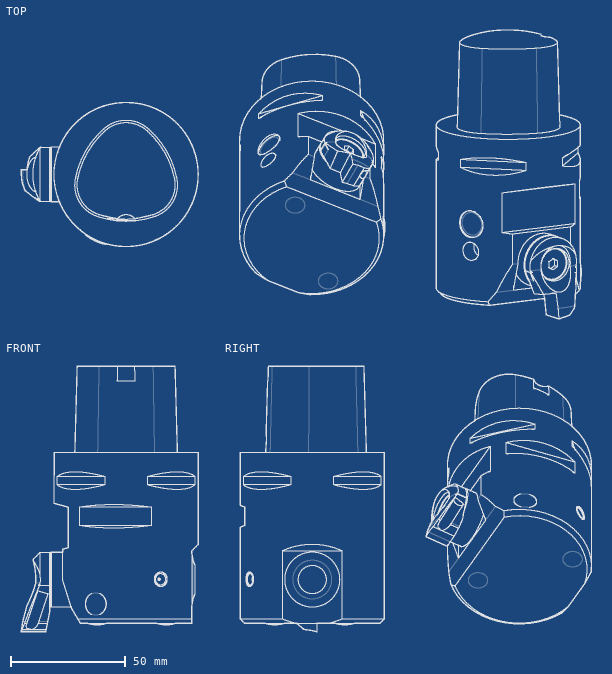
import cadquery as cq
import math

overall_width = 77.3
body_radius = 63.0 / 2
body_bottom = 3.7
body_top = 78.3
bottom_chamfer = 2.0
cutter_clearance = 5.8
outside = body_radius + cutter_clearance

shank_top = 116
shank_lobe_reach = 23.7
shank_side_reach = 20.4
shank_lobes = (-30, 90, 210)
lobe_spacing = 120
shank_joint_reach = 22.2
shank_joint_angle = 26
shank_taper_drop = 1.0
key_notch_radius = 5.0
key_notch_depth = 1.9
key_notch_bottom = 109.5

slot_directions = (45, 135, 225, 315)
slot_flat = 27.8
slot_bottom = 64.3
slot_top = 67.7
slot_wall_angle = 30

clamp_flat = 27.1
clamp_bottom = 46.5
clamp_top = 54.4
clamp_direction = 260
wall_angle = 15

step_flat_x = -25.3
step_top = 54.4
step_bottom = 36.8
bar_flat_x = -27.7
slope_top = 22.6
slope_middle_x = -23.8
slope_middle_z = 10.1
slope_end_x = -20.0

dial_flat_x = 28.7
dial_flat_top = 35.4

bar_radius = 24.0 / 2
bar_axis_z = 22.9
bar_end_x = -32.7
dial_edge_x = 29.2
dial_edge_radius = 8.5
dial_face_x = 30.2
dial_face_radius = 6.1

plug_diameter = 10.0
plug_rim = 31.4
plug_height = 0.6
plug_root = 1.2
plug_direction = 245
plug_z = 12.2

screw_direction = 299
screw_z = 23.0
screw_hole_diameter = 6.3
screw_rim_depth = 0.5
screw_socket_diameter = 5.0
screw_socket_depth = 1.2
screw_pip_diameter = 1.0
screw_pip_depth = 0.5

port_direction = 117
port_diameter = 8.0
port_z = 27.5
port_depth = 9.3
sunk_plug_z = 39.5
sunk_plug_rim = 30.4
counterbore_diameter = 11.8

foot_diameter = 8.5
foot_height = 0.7
foot_places = [(-12.8, 14.2), (17.4, -16.4)]

head_radius = 23.8 / 2
head_back_x = -33.3
head_rim_x = -37.6
head_face_x = -40.7
head_bevel_radius = 8.7
face_curve_radius = 23.2
face_bend_z = 21.3
arm_end_x = -45.1
arm_end_z = 4.6
tip_x = body_radius - overall_width
rake_y = 2.1
arm_blank_x = -47.6
arm_step_z = 8.1
arm_outline = [
    (11.7, 20.4),
    (6.5, arm_step_z),
    (rake_y, arm_step_z),
    (rake_y, 0),
    (-0.3, 0.6),
    (-3.6, 1.0),
    (-6.6, 3.6),
    (-7.1, 4.5),
    (-11.8, 20.3),
]
arm_back_bend_z = 8.7
arm_back_end_x = -35.0
pocket_front_z = 11.5
pocket_back_z = 9.5

seat_radius = 13.6 / 2
seat_x = -37.6
seat_bore_radius = 7.2
seat_ring_depth = 0.3
seat_cone_x = -39.1
seat_cone_length = 7
socket_diameter = 5.0
socket_depth = 2.3

groove_diameter = 4.8
groove_start = (-36.3, -10.4, 17.4)
groove_end = (-41.9, -5.8, 0.6)


def polar(radius, angle):
    return (radius * math.cos(math.radians(angle)), radius * math.sin(math.radians(angle)))


def radial_plane(direction, reach, z):
    """Plane whose normal leaves the Z axis horizontally in the given direction."""
    nx, ny = polar(1, direction)
    return cq.Plane(origin=(reach * nx, reach * ny, z), xDir=(-ny, nx, 0), normal=(nx, ny, 0))


def cross_plane(x, side):
    """Plane centred on the bar axis that faces +X for side 1 and -X for side -1."""
    return cq.Plane(origin=(x, 0, bar_axis_z), xDir=(0, 1, 0), normal=(side, 0, 0))


def dome(plane, diameter, height):
    """Spherical cap standing on a plane."""
    ball_radius = ((diameter / 2) ** 2 + height**2) / (2 * height)
    middle_height = math.sqrt(ball_radius**2 - (diameter / 4) ** 2) - (ball_radius - height)
    return (
        cq.Workplane(plane)
        .transformed(rotate=(90, 0, 0))
        .lineTo(diameter / 2, 0)
        .threePointArc((diameter / 4, middle_height), (0, height))
        .close()
        .revolve(360, (0, 0), (0, 1))
    )


def cone(plane, base_radius, end_radius, height):
    """Truncated cone standing on a plane."""
    return (
        cq.Workplane(plane).circle(base_radius).workplane(offset=height).circle(end_radius).loft()
    )


def side_prism(points, y_start, y_end):
    """Prism with an outline of (x, z) points, running along Y."""
    return cq.Workplane("XZ", origin=(0, y_start, 0)).polyline(points).close().extrude(y_start - y_end)


def shank_outline(workplane, shrink):
    """Closed outline of three lobe arcs and three side arcs."""
    joint = shank_joint_reach - shrink
    outline = workplane.moveTo(*polar(joint, shank_lobes[0] - shank_joint_angle))
    for lobe in shank_lobes:
        side = lobe + lobe_spacing / 2
        next_joint = lobe + lobe_spacing - shank_joint_angle
        outline = outline.threePointArc(
            polar(shank_lobe_reach - shrink, lobe), polar(joint, lobe + shank_joint_angle)
        ).threePointArc(
            polar(shank_side_reach - shrink, side), polar(joint, next_joint)
        )
    return outline.close()


def make_shank():
    height = shank_top - body_top
    base = shank_outline(cq.Workplane("XY", origin=(0, 0, body_top)), 0)
    shank = shank_outline(base.workplane(offset=height), shank_taper_drop).loft(ruled=True)
    notch_y = -(shank_side_reach - shank_taper_drop) + key_notch_depth - key_notch_radius
    notch = (
        cq.Workplane("XY", origin=(0, notch_y, key_notch_bottom))
        .circle(key_notch_radius)
        .extrude(height)
    )
    return shank.cut(notch)


def flat_cut(direction, flat, bottom, top, angle):
    """Cutter for a flat in the wall, with upper and lower walls that open outwards."""
    flare = (outside - flat) * math.tan(math.radians(angle))
    profile = [(flat, bottom), (outside, bottom - flare), (outside, top + flare), (flat, top)]
    return side_prism(profile, -outside, outside).rotate((0, 0, 0), (0, 0, 1), direction)


def stepped_flats_cut():
    wall_slope = math.tan(math.radians(wall_angle))
    profile = [
        (-outside, step_top + (step_flat_x + outside) * wall_slope),
        (step_flat_x, step_top),
        (step_flat_x, step_bottom),
        (bar_flat_x, step_bottom - (step_flat_x - bar_flat_x) * wall_slope),
        (bar_flat_x, slope_top),
        (slope_middle_x, slope_middle_z),
        (slope_end_x, body_bottom),
        (-outside, body_bottom),
    ]
    return side_prism(profile, -outside, outside)


def dial_flat_cut():
    profile = [
        (dial_flat_x, body_bottom),
        (dial_flat_x, dial_flat_top),
        (outside, dial_flat_top + outside - dial_flat_x),
        (outside, body_bottom),
    ]
    return side_prism(profile, -outside, outside)


def bar_recess_cut():
    """Bore for the bar, and the upright-walled recess below it on the sloped side."""
    bore = cq.Workplane(cross_plane(-outside, 1)).circle(bar_radius).extrude(2 * outside)
    recess = cq.Workplane("XY").box(
        outside + slope_middle_x, 2 * bar_radius, bar_axis_z - body_bottom, centered=(False, True, False)
    )
    return bore.union(recess.translate((-outside, 0, body_bottom)))


def radial_bore(direction, z, diameter, floor):
    """Cutter for a hole from the outside down to a floor at a distance from the axis."""
    return (
        cq.Workplane(radial_plane(direction, floor, z))
        .circle(diameter / 2)
        .extrude(outside - floor)
    )


def plug(direction, z, rim):
    """Domed plug with a short round root below its rim."""
    plane = radial_plane(direction, rim, z)
    root = cq.Workplane(plane).circle(plug_diameter / 2).extrude(-plug_root)
    return root.union(dome(plane, plug_diameter, plug_height))


def screw_cut():
    rim_floor = body_radius - screw_rim_depth
    socket_floor = rim_floor - screw_socket_depth
    rim = radial_bore(screw_direction, screw_z, screw_hole_diameter, rim_floor)
    socket = cone(
        radial_plane(screw_direction, socket_floor, screw_z),
        screw_pip_diameter / 2,
        screw_socket_diameter / 2,
        screw_socket_depth,
    )
    pip = (
        cq.Workplane(radial_plane(screw_direction, socket_floor, screw_z))
        .circle(screw_pip_diameter / 2)
        .extrude(-screw_pip_depth)
    )
    return rim.union(socket).union(pip)


def make_housing():
    housing = (
        cq.Workplane("XY", origin=(0, 0, body_bottom))
        .circle(body_radius)
        .extrude(body_top - body_bottom)
        .faces("<Z")
        .chamfer(bottom_chamfer)
    )
    for direction in slot_directions:
        housing = housing.cut(flat_cut(direction, slot_flat, slot_bottom, slot_top, slot_wall_angle))
    housing = housing.cut(flat_cut(clamp_direction, clamp_flat, clamp_bottom, clamp_top, wall_angle))
    for cutter in (stepped_flats_cut(), dial_flat_cut(), bar_recess_cut()):
        housing = housing.cut(cutter)
    port = radial_bore(port_direction, port_z, port_diameter, body_radius - port_depth)
    counterbore = radial_bore(port_direction, sunk_plug_z, counterbore_diameter, sunk_plug_rim)
    for cutter in (screw_cut(), port, counterbore):
        housing = housing.cut(cutter)
    housing = housing.union(make_shank())
    housing = housing.union(plug(plug_direction, plug_z, plug_rim))
    housing = housing.union(plug(port_direction, sunk_plug_z, sunk_plug_rim))
    for x, y in foot_places:
        foot_plane = cq.Plane(origin=(x, y, body_bottom), xDir=(1, 0, 0), normal=(0, 0, -1))
        housing = housing.union(dome(foot_plane, foot_diameter, foot_height))
    return housing


def make_bar():
    bar = (
        cq.Workplane(cross_plane(bar_end_x, 1))
        .circle(bar_radius)
        .extrude(dial_flat_x - bar_end_x)
    )
    skirt = cone(
        cross_plane(dial_flat_x, 1), bar_radius, dial_edge_radius, dial_edge_x - dial_flat_x
    )
    dial = cone(
        cross_plane(dial_edge_x, 1), dial_edge_radius, dial_face_radius, dial_face_x - dial_edge_x
    )
    return bar.union(skirt).union(dial)


def curved_front(z_upper, x_upper, z_lower, x_lower):
    """Slanted round prism; its -X side is one stretch of the curved front of the head."""
    center_x = x_upper + face_curve_radius
    disc = cq.Workplane("XY", origin=(center_x, 0, z_upper)).circle(face_curve_radius).val()
    slant = cq.Vector(x_lower - x_upper, 0, z_lower - z_upper)
    return cq.Workplane(cq.Solid.extrudeLinear(disc, [], slant))


def head_blank():
    """Bevelled disc with the arm that reaches down to the cutting tip."""
    disc = (
        cq.Workplane(cross_plane(head_rim_x, 1))
        .circle(head_radius)
        .extrude(head_back_x - head_rim_x)
    )
    bevel = cone(
        cross_plane(head_rim_x, -1),
        head_radius,
        head_bevel_radius,
        head_rim_x - head_face_x,
    )
    arm = (
        cq.Workplane("YZ", origin=(arm_blank_x, 0, 0))
        .polyline(arm_outline)
        .close()
        .extrude(head_back_x - arm_blank_x)
    )
    return disc.union(bevel).union(arm)


def seat_cut():
    """Bore with a raised round seat, opening into a 45 degree cone, with a hexagonal socket."""
    bore = (
        cq.Workplane(cross_plane(seat_x + seat_ring_depth, -1))
        .circle(seat_bore_radius)
        .extrude(seat_x + seat_ring_depth - seat_cone_x)
    )
    seat = (
        cq.Workplane(cross_plane(seat_x, 1))
        .circle(seat_radius)
        .extrude(seat_ring_depth)
    )
    opening = cone(
        cross_plane(seat_cone_x, -1),
        seat_bore_radius,
        seat_bore_radius + seat_cone_length,
        seat_cone_length,
    )
    socket = (
        cq.Workplane(cross_plane(seat_x, 1))
        .transformed(rotate=(0, 0, 90))
        .polygon(6, socket_diameter)
        .extrude(socket_depth)
    )
    return bore.cut(seat).union(opening).union(socket)


def groove_cut():
    start = cq.Vector(*groove_start)
    run = cq.Vector(*groove_end) - start
    return cq.Workplane(cq.Solid.makeCylinder(groove_diameter / 2, run.Length, start, run))


def make_head():
    tip_front_x = tip_x - face_curve_radius + math.sqrt(face_curve_radius**2 - rake_y**2)
    front = (
        curved_front(bar_axis_z + head_radius, head_face_x, face_bend_z, head_face_x)
        .union(curved_front(face_bend_z, head_face_x, arm_end_z, arm_end_x))
        .union(curved_front(arm_end_z, arm_end_x, 0, tip_front_x))
    )
    back_cut = side_prism(
        [(head_back_x, arm_back_bend_z), (arm_back_end_x, 0), (head_back_x, 0)], -head_radius, head_radius
    )
    pocket = side_prism(
        [(arm_end_x, pocket_front_z), (head_back_x, pocket_back_z), (head_back_x, 0), (arm_end_x, 0)],
        rake_y,
        head_radius,
    )
    head = head_blank().intersect(front)
    for cutter in (back_cut, pocket, seat_cut(), groove_cut()):
        head = head.cut(cutter)
    return head


housing = make_housing()
bar = make_bar()
head = make_head()
result = cq.Compound.makeCompound([housing.val(), bar.val(), head.val()])